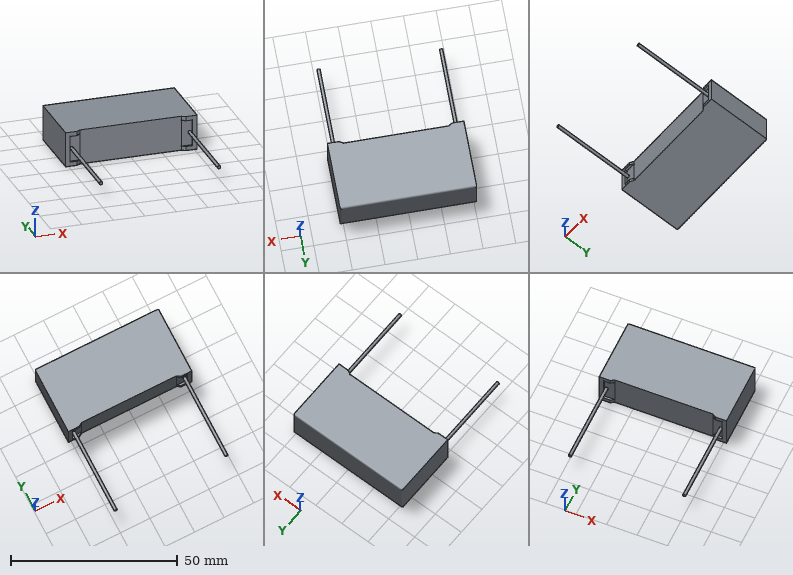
import cadquery as cq

case_length = 41.8
case_height = 11.2
total_depth = 49.1
case_depth = 22.1
back_radius = 0.55

foot_length = 3.65
foot_slope_length = 1.2
foot_depth = 0.75

end_wall = 1.4
side_wall = 1.37
back_wall = side_wall
front_wall = side_wall

lead_spacing = 37.5
lead_diameter = 1.05
lead_insertion = 2.45

back_y = total_depth / 2
foot_y = back_y - case_depth
front_y = foot_y + foot_depth
lead_tip_y = -total_depth / 2
half_length = case_length / 2
front_end_x = half_length - foot_length - foot_slope_length
foot_end_x = half_length - foot_length
cavity_end_x = half_length - end_wall
cavity_height = case_height - 2 * side_wall
cavity_back_y = back_y - back_wall
cavity_front_y = front_y + front_wall


def extrude_centred(points, height):
    """Extrude an XY outline along Z, half of the height to each side."""
    return cq.Workplane("XY").polyline(points).close().extrude(height / 2, both=True)


def make_filling():
    """Resin block with a raised pad at each end, level with the front wall."""
    outline = [
        (-cavity_end_x, cavity_back_y),
        (cavity_end_x, cavity_back_y),
        (cavity_end_x, front_y),
        (front_end_x, front_y),
        (front_end_x, cavity_front_y),
        (-front_end_x, cavity_front_y),
        (-front_end_x, front_y),
        (-cavity_end_x, front_y),
    ]
    return extrude_centred(outline, cavity_height)


def make_case(filling):
    """Box with rounded back edges, sloped feet and a cavity for the filling."""
    outline = [
        (-half_length, back_y),
        (half_length, back_y),
        (half_length, foot_y),
        (foot_end_x, foot_y),
        (front_end_x, front_y),
        (-front_end_x, front_y),
        (-foot_end_x, foot_y),
        (-half_length, foot_y),
    ]
    case = extrude_centred(outline, case_height).faces(">Y").edges().fillet(back_radius)

    window_length = cavity_end_x - front_end_x
    window_x = (cavity_end_x + front_end_x) / 2
    for side in (-1, 1):
        window = cq.Workplane("XY").box(window_length, foot_depth, cavity_height)
        case = case.cut(window.translate((side * window_x, foot_y + foot_depth / 2, 0)))
    return case.cut(filling)


def make_lead(x):
    """Round wire along Y, from its free tip to its end inside the filling."""
    length = front_y + lead_insertion - lead_tip_y
    start = cq.Vector(x, lead_tip_y, 0)
    return cq.Solid.makeCylinder(lead_diameter / 2, length, start, cq.Vector(0, 1, 0))


leads = [make_lead(side * lead_spacing / 2) for side in (-1, 1)]
filling = make_filling()
case = make_case(filling)
for lead in leads:
    filling = filling.cut(cq.Workplane(lead))

result = cq.Compound.makeCompound([case.val(), filling.val(), *leads])